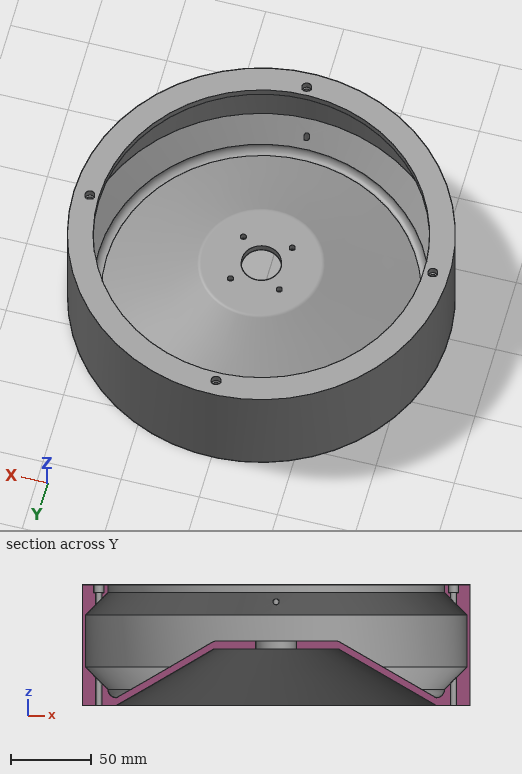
import cadquery as cq
import math

outer_radius = 120.0
height = 75.0
wall_inner_radius = 236.0 / 2
opening_radius = 208.0 / 2
sheet = 5.0

ring_taper = wall_inner_radius - opening_radius

groove_radius = 5.0
dish_foot_radius = opening_radius - groove_radius
hub_radius = 38.5
hub_top = 40.0
hub_fillet = 4.0
bore_radius = 25.0 / 2

hub_hole_diameter = 3.5
hub_hole_offset = 15.5
screw_diameter = 3.5
screw_head_diameter = 6.0
screw_head_depth = 5.0
screw_circle_radius = 109.7


def make_body():
    """Revolve the cross-section of the drum, lip, floor ring and dish."""
    groove_top = sheet + groove_radius
    lip_bottom = height - sheet
    arc_run = groove_radius * math.cos(math.radians(45))
    groove_middle = (dish_foot_radius + arc_run, groove_top - arc_run)
    return (
        cq.Workplane("XZ")
        .moveTo(outer_radius, 0)
        .lineTo(outer_radius, height)
        .lineTo(opening_radius, height)
        .lineTo(opening_radius, lip_bottom)
        .lineTo(wall_inner_radius, lip_bottom - ring_taper)
        .lineTo(wall_inner_radius, groove_top + ring_taper)
        .lineTo(opening_radius, groove_top)
        .threePointArc(groove_middle, (dish_foot_radius, sheet))
        .lineTo(hub_radius, hub_top)
        .lineTo(bore_radius, hub_top)
        .lineTo(bore_radius, hub_top - sheet)
        .lineTo(hub_radius, hub_top - sheet)
        .lineTo(dish_foot_radius, 0)
        .close()
        .revolve(360, (0, 0, 0), (0, 1, 0))
    )


def round_hub_edge(body):
    """Round the upper edge where the hub meets the dish."""
    tolerance = 0.2
    hub_edge = cq.selectors.BoxSelector(
        (-hub_radius - tolerance, -hub_radius - tolerance, hub_top - tolerance),
        (hub_radius + tolerance, hub_radius + tolerance, hub_top + tolerance),
        boundingbox=True,
    )
    return body.edges(hub_edge).edges(cq.selectors.RadiusNthSelector(-1)).fillet(hub_fillet)


def drill_hub_holes(body):
    """Four through holes on a square pattern around the bore."""
    spacing = 2 * hub_hole_offset
    drills = (
        cq.Workplane("XY")
        .rarray(spacing, spacing, 2, 2)
        .circle(hub_hole_diameter / 2)
        .extrude(height)
    )
    return body.cut(drills)


def drill_screw_holes(body):
    """Four counterbored holes through the lip that continue through the floor ring."""
    return (
        body.faces(">Z")
        .workplane(origin=(0, 0, height))
        .polarArray(screw_circle_radius, 0, 360, 4)
        .cboreHole(screw_diameter, screw_head_diameter, screw_head_depth)
    )


body = make_body()
body = round_hub_edge(body)
body = drill_hub_holes(body)
result = drill_screw_holes(body)